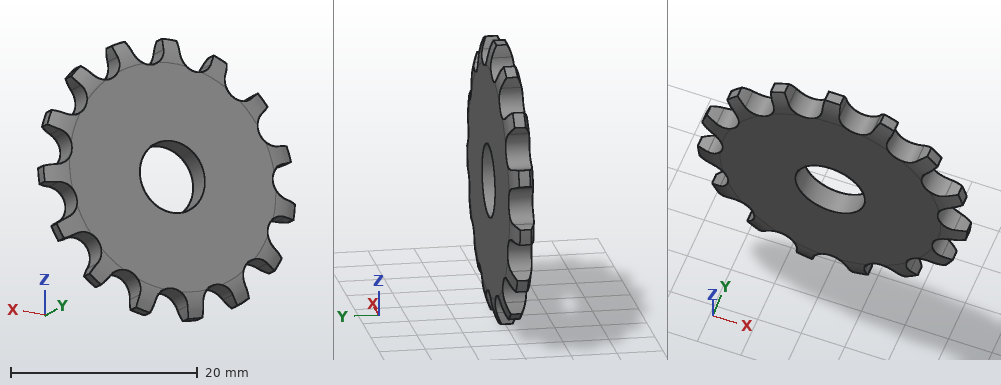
import cadquery as cq
import math

tooth_count = 15
overall_width = 30.95
thickness = 2.6
bore_diameter = 8.0
face_radius = 12.7
side_round_radius = 6.0
link_pitch = 6.0
seat_radius = 2.0
flank_radius = 8.17

half_pitch_angle = math.pi / tooth_count
pitch_radius = link_pitch / (2 * math.sin(half_pitch_angle))
root_radius = pitch_radius - seat_radius
seat_distance = pitch_radius * math.sin(half_pitch_angle)
seat_height = pitch_radius * math.cos(half_pitch_angle)
neck_half_width = seat_distance - seat_radius
flank_center_offset = flank_radius - neck_half_width


def tip_corner_angle(radius):
    """Angle from the tooth centreline to the corner of its tip."""
    center_distance = math.hypot(flank_center_offset, seat_height)
    center_angle = math.atan2(flank_center_offset, seat_height)
    cosine = (radius**2 + center_distance**2 - flank_radius**2) / (2 * radius * center_distance)
    return math.acos(cosine) - center_angle


corner_angle = tip_corner_angle(overall_width / 2)
tip_radius = overall_width / 2 / math.cos(half_pitch_angle / 2 - corner_angle)


def polar(radius, angle):
    """Point at an angle measured clockwise from +Z, as (x, z)."""
    return radius * math.sin(angle), radius * math.cos(angle)


def from_tooth(across, along, tooth_angle):
    """Point given across and along a tooth's centreline, as (x, z)."""
    return polar(math.hypot(across, along), tooth_angle + math.atan2(across, along))


def flank_middle():
    """Middle of the flank arc, across and along the tooth."""
    tip_across, tip_along = polar(tip_radius, corner_angle)
    sweep = math.atan2(tip_along - seat_height, tip_across + flank_center_offset)
    across = flank_radius * math.cos(sweep / 2) - flank_center_offset
    along = seat_height + flank_radius * math.sin(sweep / 2)
    return across, along


def seat_middle():
    """Middle of the arc from the neck to the root, across and along the tooth."""
    direction = (math.pi / 2 - half_pitch_angle) / 2
    across = seat_distance - seat_radius * math.cos(direction)
    along = seat_height - seat_radius * math.sin(direction)
    return across, along


def toothed_plate():
    """Plate with the full tooth outline, square-sided."""
    flank_across, flank_along = flank_middle()
    seat_across, seat_along = seat_middle()
    back_face = cq.Workplane("XZ", origin=(0, thickness / 2, 0))
    outline = back_face.moveTo(*polar(root_radius, -half_pitch_angle))
    for tooth in range(tooth_count):
        angle = 2 * half_pitch_angle * tooth
        outline = (
            outline
            .threePointArc(
                from_tooth(-seat_across, seat_along, angle),
                from_tooth(-neck_half_width, seat_height, angle),
            )
            .threePointArc(
                from_tooth(-flank_across, flank_along, angle),
                polar(tip_radius, angle - corner_angle),
            )
            .threePointArc(polar(tip_radius, angle), polar(tip_radius, angle + corner_angle))
            .threePointArc(
                from_tooth(flank_across, flank_along, angle),
                from_tooth(neck_half_width, seat_height, angle),
            )
            .threePointArc(
                from_tooth(seat_across, seat_along, angle),
                polar(root_radius, angle + half_pitch_angle),
            )
        )
    return outline.close().extrude(thickness)


def rounded_disc():
    """Bored disc whose rim narrows along arcs tangent to the side faces."""
    half_thickness = thickness / 2
    bore_radius = bore_diameter / 2
    rim_sweep = math.asin((tip_radius - face_radius) / side_round_radius)
    tip_half_thickness = half_thickness - side_round_radius * (1 - math.cos(rim_sweep))
    middle_radius = face_radius + side_round_radius * math.sin(rim_sweep / 2)
    middle_half_thickness = half_thickness - side_round_radius * (1 - math.cos(rim_sweep / 2))
    section = (
        cq.Workplane("YZ")
        .moveTo(-half_thickness, bore_radius)
        .lineTo(-half_thickness, face_radius)
        .threePointArc((-middle_half_thickness, middle_radius), (-tip_half_thickness, tip_radius))
        .lineTo(tip_half_thickness, tip_radius)
        .threePointArc((middle_half_thickness, middle_radius), (half_thickness, face_radius))
        .lineTo(half_thickness, bore_radius)
        .close()
    )
    return section.revolve(360, (0, 0, 0), (1, 0, 0))


result = toothed_plate().intersect(rounded_disc())